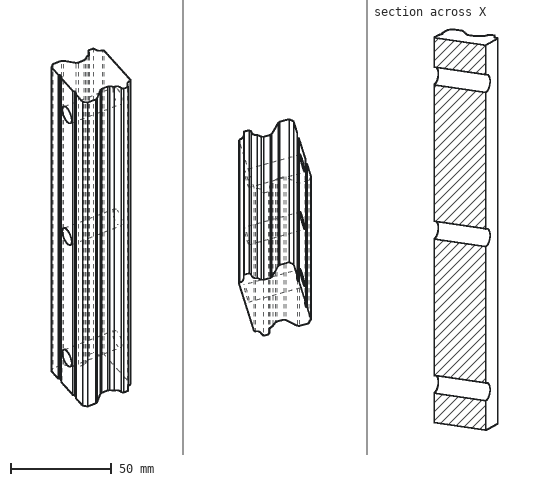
import cadquery as cq

length = 200.0
width = 34.0
height = 29.0
half_width = width / 2
head_y = height / 2
base_y = -height / 2

head_half_width = 13.5
head_edge_depth = 0.5
lip_top_depth = 3.8
lip_slope_rise = 0.5
lip_bottom_depth = 6.5
lip_land = 1.5
lip_chamfer = 0.8
upper_groove_sag = 0.5

lower_groove_half_width = 13.5
lower_groove_end_depth = 9.5
lower_groove_sag = 0.5
waist_half_width = 11.5
waist_top_depth = 11.8
waist_bottom_depth = 16.5
foot_depth = waist_bottom_depth + half_width - waist_half_width
flank_chamfer = 0.5

base_chamfer = 1.8
relief_center_x = 7.2
relief_mouth_width = 3.0
relief_floor_width = 1.8
relief_depth = 0.5

hole_diameter = 9.0
hole_pitch = 80.0
hole_count = 3


def arc_midpoint(start, end, sag):
    """Midpoint of a shallow arc, offset to the left of the start-end chord."""
    dx = end[0] - start[0]
    dy = end[1] - start[1]
    chord = (dx**2 + dy**2) ** 0.5
    return (
        (start[0] + end[0]) / 2 - sag * dy / chord,
        (start[1] + end[1]) / 2 + sag * dx / chord,
    )


def half_rail():
    """Extrude the -X half of the rail section, from the head down to the base."""
    upper_start = (-head_half_width, head_y - head_edge_depth)
    upper_end = (-half_width + lip_land, head_y - lip_top_depth + lip_slope_rise)
    lower_start = (-half_width + lip_land, head_y - lip_bottom_depth - lip_chamfer)
    lower_end = (-lower_groove_half_width, head_y - lower_groove_end_depth)
    body = (
        cq.Workplane("XY")
        .workplane(offset=-length / 2)
        .moveTo(0, head_y)
        .lineTo(-head_half_width + head_edge_depth, head_y)
        .lineTo(*upper_start)
        .threePointArc(arc_midpoint(upper_start, upper_end, upper_groove_sag), upper_end)
        .lineTo(-half_width, head_y - lip_top_depth)
        .lineTo(-half_width, head_y - lip_bottom_depth)
        .lineTo(-half_width + lip_chamfer, head_y - lip_bottom_depth - lip_chamfer)
        .lineTo(*lower_start)
        .threePointArc(arc_midpoint(lower_start, lower_end, lower_groove_sag), lower_end)
        .lineTo(-waist_half_width, head_y - waist_top_depth)
        .lineTo(-waist_half_width, head_y - waist_bottom_depth)
        .lineTo(-half_width, head_y - foot_depth)
        .lineTo(-half_width, base_y + base_chamfer)
        .lineTo(-half_width + base_chamfer, base_y)
        .lineTo(0, base_y)
        .close()
        .extrude(length)
    )
    flank_corners = [
        (-waist_half_width, head_y - waist_top_depth, 0),
        (-waist_half_width, head_y - waist_bottom_depth, 0),
        (-half_width, head_y - foot_depth, 0),
    ]
    for corner in flank_corners:
        body = body.edges(cq.selectors.NearestToPointSelector(corner)).chamfer(flank_chamfer)
    return body


def base_relief(center_x):
    """Shallow trapezoidal groove along the base."""
    return (
        cq.Workplane("XY")
        .workplane(offset=-length / 2)
        .polyline([
            (center_x - relief_mouth_width / 2, base_y),
            (center_x - relief_floor_width / 2, base_y + relief_depth),
            (center_x + relief_floor_width / 2, base_y + relief_depth),
            (center_x + relief_mouth_width / 2, base_y),
        ])
        .close()
        .extrude(length)
    )


def mounting_holes():
    """Through holes along the rail, from base to head."""
    return (
        cq.Workplane("XZ", origin=(0, head_y, 0))
        .rarray(2, hole_pitch, 1, hole_count)
        .circle(hole_diameter / 2)
        .extrude(height)
    )


left_half = half_rail()
result = left_half.union(left_half.mirror("YZ")).clean()
for side in (-1, 1):
    result = result.cut(base_relief(side * relief_center_x))
result = result.cut(mounting_holes())